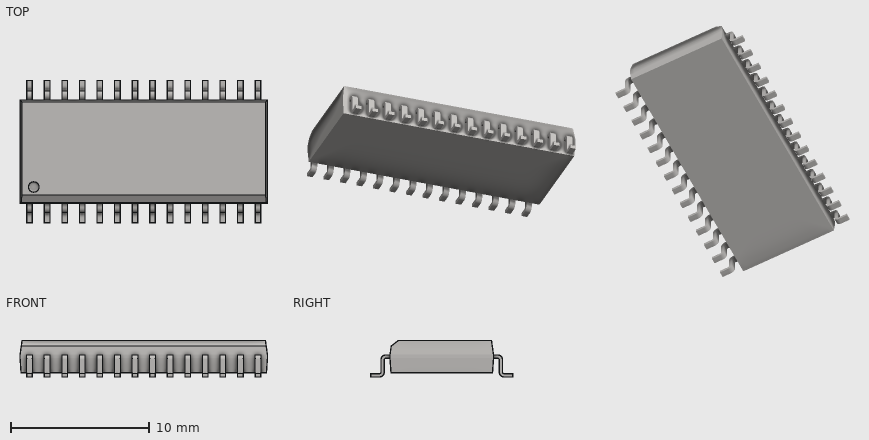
import cadquery as cq
import math

BODY_LENGTH = 17.9
BODY_WIDTH = 7.5
BODY_BOTTOM = 0.3
BODY_TOP = 2.65
TOP_DRAFT = math.radians(8)
BOTTOM_DRAFT = math.radians(4)

BEVEL_WIDTH = 0.62
BEVEL_DROP = 0.4

DIMPLE_X = -7.95
DIMPLE_Y = -2.55
DIMPLE_DIAMETER = 0.76
DIMPLE_FLOOR_RADIUS = 0.17
DIMPLE_DEPTH = 0.2

LEADS_PER_SIDE = 14
LEAD_PITCH = 1.27
LEAD_WIDTH = 0.42
LEAD_THICKNESS = 0.25
LEAD_TIP_SPAN = 10.3
LEG_OUTER_SPAN = 8.8
BEND_INNER_RADIUS = 0.1
BEND_OUTER_RADIUS = BEND_INNER_RADIUS + LEAD_THICKNESS
LEAD_ROOT_DEPTH = 0.5

BODY_MIDDLE = (BODY_BOTTOM + BODY_TOP) / 2
BAND_BOTTOM = BODY_MIDDLE - LEAD_THICKNESS / 2
BAND_TOP = BODY_MIDDLE + LEAD_THICKNESS / 2


def drafted_half(z_start, z_end, draft):
    """Full-size rectangle at z_start, narrowed evenly on all sides by the draft up to z_end."""
    inset = abs(z_end - z_start) * math.tan(draft)
    return (
        cq.Workplane("XY", origin=(0, 0, z_start))
        .rect(BODY_LENGTH, BODY_WIDTH)
        .workplane(offset=z_end - z_start)
        .rect(BODY_LENGTH - 2 * inset, BODY_WIDTH - 2 * inset)
        .loft(ruled=True)
    )


def make_bevel_cutter():
    """Wedge over the -Y top edge, running the whole length of the body."""
    side_y = -BODY_WIDTH / 2
    low_z = BODY_TOP - BEVEL_DROP
    low_y = side_y + (low_z - BAND_TOP) * math.tan(TOP_DRAFT)
    return (
        cq.Workplane("YZ")
        .moveTo(side_y + BEVEL_WIDTH, BODY_TOP)
        .lineTo(low_y, low_z)
        .lineTo(side_y, low_z)
        .lineTo(side_y, BODY_TOP)
        .close()
        .extrude(BODY_LENGTH / 2, both=True)
    )


def make_body():
    """Straight band between two drafted halves, bevelled on the -Y side."""
    band = (
        cq.Workplane("XY", origin=(0, 0, BAND_BOTTOM))
        .rect(BODY_LENGTH, BODY_WIDTH)
        .extrude(LEAD_THICKNESS)
    )
    lower_half = drafted_half(BAND_BOTTOM, BODY_BOTTOM, BOTTOM_DRAFT)
    upper_half = drafted_half(BAND_TOP, BODY_TOP, TOP_DRAFT).cut(make_bevel_cutter())
    return lower_half.union(band).union(upper_half)


def make_dimple():
    """Cutter for the pin 1 dimple."""
    return (
        cq.Workplane("XY", origin=(DIMPLE_X, DIMPLE_Y, BODY_TOP - DIMPLE_DEPTH))
        .circle(DIMPLE_DIAMETER / 2)
        .extrude(DIMPLE_DEPTH)
        .faces("<Z")
        .edges()
        .fillet(DIMPLE_FLOOR_RADIUS)
    )


def make_lead():
    """One lead on the +Y side, centred on X = 0, with its foot on Z = 0."""
    root = BODY_WIDTH / 2 - LEAD_ROOT_DEPTH
    tip = LEAD_TIP_SPAN / 2
    leg_outer = LEG_OUTER_SPAN / 2
    leg_inner = leg_outer - LEAD_THICKNESS
    profile = (
        cq.Workplane("YZ", origin=(-LEAD_WIDTH / 2, 0, 0))
        .moveTo(root, BAND_TOP)
        .lineTo(leg_outer - BEND_OUTER_RADIUS, BAND_TOP)
        .radiusArc((leg_outer, BAND_TOP - BEND_OUTER_RADIUS), BEND_OUTER_RADIUS)
        .lineTo(leg_outer, LEAD_THICKNESS + BEND_INNER_RADIUS)
        .radiusArc((leg_outer + BEND_INNER_RADIUS, LEAD_THICKNESS), -BEND_INNER_RADIUS)
        .lineTo(tip, LEAD_THICKNESS)
        .lineTo(tip, 0)
        .lineTo(leg_inner + BEND_OUTER_RADIUS, 0)
        .radiusArc((leg_inner, BEND_OUTER_RADIUS), BEND_OUTER_RADIUS)
        .lineTo(leg_inner, BAND_BOTTOM - BEND_INNER_RADIUS)
        .radiusArc((leg_inner - BEND_INNER_RADIUS, BAND_BOTTOM), -BEND_INNER_RADIUS)
        .lineTo(root, BAND_BOTTOM)
        .close()
    )
    return profile.extrude(LEAD_WIDTH)


result = make_body().cut(make_dimple())
lead = make_lead()
opposite_lead = lead.mirror("XZ")
for index in range(LEADS_PER_SIDE):
    lead_x = (index - (LEADS_PER_SIDE - 1) / 2) * LEAD_PITCH
    result = result.union(lead.translate((lead_x, 0, 0)))
    result = result.union(opposite_lead.translate((lead_x, 0, 0)))